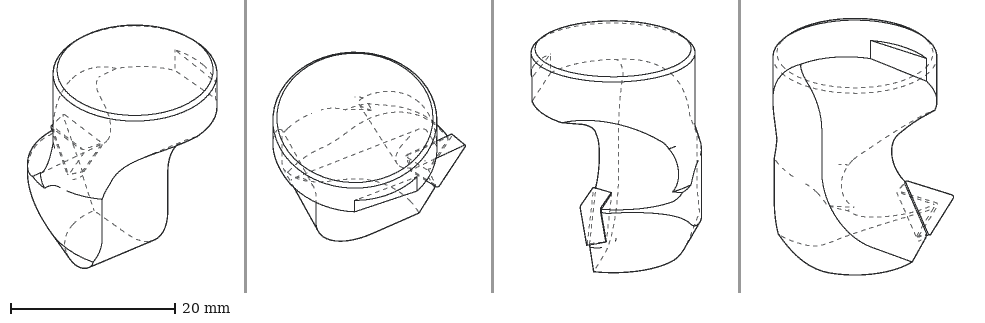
import cadquery as cq
import math

TOTAL_HEIGHT = 25.95
SHANK_DIAMETER = 20.0
SHANK_RADIUS = SHANK_DIAMETER / 2
TOP_CHAMFER = 0.5
NOTCH_Y = 9.08
NOTCH_TOP_Z = 22.78

NECK_TOP_Z = 15.7
LEDGE_Z = 10.71
NECK_BOTTOM_RADIUS = 11.55

FRONT_Y = -10.92
FRONT_LEFT_X = -4.25
FRONT_RIGHT_X = -0.52
LEFT_ARC_RADIUS = 9.35
RIGHT_ARC_RADIUS = 10.9
CONE_BOTTOM_RADIUS = 8.59
CONE_HALF_ANGLE = 28.2

RELIEF_X = 5.6
UPPER_RELIEF_RADIUS = 8.3
UPPER_RELIEF_Z = 13.5
LOWER_RELIEF_RADIUS = 7.78

FRAME_ANGLE = 3.3
RAKE_Y = 0.55
RAKE_FILLET = 2.8 / 2
ROOF_Z = 19.95
ROOF_ANGLE = 4.3

GULLET_X = -9.23
GULLET_Z = 14.03
GULLET_RADIUS = 3.9
GULLET_FLOOR_ANGLE = 1.5
GULLET_ROOF_ANGLE = 45.0

INSERT_TIP_X = -15.05
INSERT_TIP_Z = 10.95
INSERT_EDGE = 7.9
INSERT_THICKNESS = 2.39
INSERT_CLEARANCE = 7.5
INSERT_NOSE_RADIUS = 0.25
INSERT_TILT = 2.5
INSERT_STANDOUT = 0.29
INSERT_CORNER = 57.0

FLANK_TOP_X = -14.3
FLANK_TOP_Z = 10.9
FLANK_BEND_X = -11.4
FLANK_BEND_Z = 5.9
FLANK_END_X = -10.71
FLANK_END_Z = 3.9

REACH = 31.13


def prism_along_y(profile, y_start, length):
    """Extrude a closed XZ profile from y_start toward +Y."""
    return profile.extrude(-length).translate((0, y_start, 0))


def turn(shape):
    """Turn a shape into the frame of the insert."""
    return shape.rotate((0, 0, 0), (0, 0, 1), FRAME_ANGLE)


def make_shank():
    shank = cq.Workplane("XY", origin=(0, 0, NECK_TOP_Z)).circle(SHANK_RADIUS)
    shank = shank.extrude(TOTAL_HEIGHT - NECK_TOP_Z).faces(">Z").chamfer(TOP_CHAMFER)
    notch = cq.Workplane("XY").box(REACH, REACH, NOTCH_TOP_Z, centered=(True, False, False))
    return shank.cut(notch.translate((0, NOTCH_Y, 0)))


def make_head_outline():
    """Upright prism bounded by the front wall and its two arcs."""
    left_x = FRONT_LEFT_X - LEFT_ARC_RADIUS
    right_x = FRONT_RIGHT_X + RIGHT_ARC_RADIUS
    return (
        cq.Workplane("XY")
        .moveTo(FRONT_LEFT_X, FRONT_Y)
        .lineTo(FRONT_RIGHT_X, FRONT_Y)
        .radiusArc((right_x, FRONT_Y + RIGHT_ARC_RADIUS), -RIGHT_ARC_RADIUS)
        .lineTo(right_x, SHANK_RADIUS)
        .lineTo(left_x, SHANK_RADIUS)
        .lineTo(left_x, FRONT_Y + LEFT_ARC_RADIUS)
        .radiusArc((FRONT_LEFT_X, FRONT_Y), -LEFT_ARC_RADIUS)
        .close()
        .extrude(NECK_TOP_Z)
    )


def make_head():
    ledge_radius = CONE_BOTTOM_RADIUS + LEDGE_Z * math.tan(math.radians(CONE_HALF_ANGLE))
    profile = [
        (0, 0),
        (CONE_BOTTOM_RADIUS, 0),
        (ledge_radius, LEDGE_Z),
        (NECK_BOTTOM_RADIUS, LEDGE_Z),
        (SHANK_RADIUS, NECK_TOP_Z),
        (0, NECK_TOP_Z),
    ]
    cones = cq.Workplane("XZ").polyline(profile).close().revolve(360, (0, 0, 0), (0, 1, 0))
    return cones.intersect(make_head_outline())


def make_side_relief():
    """Material removed on the +X side, between the two reliefs and the open side."""
    center_x = RELIEF_X + UPPER_RELIEF_RADIUS
    lower_x = RELIEF_X - LOWER_RELIEF_RADIUS
    profile = (
        cq.Workplane("XZ")
        .moveTo(lower_x, 0)
        .radiusArc((RELIEF_X, LOWER_RELIEF_RADIUS), -LOWER_RELIEF_RADIUS)
        .lineTo(RELIEF_X, UPPER_RELIEF_Z)
        .radiusArc((center_x, UPPER_RELIEF_Z + UPPER_RELIEF_RADIUS), UPPER_RELIEF_RADIUS)
        .lineTo(center_x, 0)
        .close()
    )
    return prism_along_y(profile, -REACH / 2, REACH)


def make_rake_cut():
    """Space behind the rake face, under a sloping roof."""
    roof_rise = REACH / 2 * math.tan(math.radians(ROOF_ANGLE))
    profile = (
        cq.Workplane("XZ")
        .moveTo(-REACH / 2, -REACH)
        .lineTo(REACH / 2, -REACH)
        .lineTo(REACH / 2, ROOF_Z + roof_rise)
        .lineTo(-REACH / 2, ROOF_Z - roof_rise)
        .close()
    )
    return turn(prism_along_y(profile, RAKE_Y, REACH).faces("<Y").edges(">Z").fillet(RAKE_FILLET))


def make_gullet():
    """Rounded gullet between a nearly level floor and a slanted roof."""
    floor = math.radians(GULLET_FLOOR_ANGLE)
    roof = math.radians(GULLET_ROOF_ANGLE)
    floor_start = (GULLET_X - GULLET_RADIUS * math.sin(floor), GULLET_Z - GULLET_RADIUS * math.cos(floor))
    roof_start = (GULLET_X + GULLET_RADIUS * math.sin(roof), GULLET_Z + GULLET_RADIUS * math.cos(roof))
    run = REACH / 2
    profile = (
        cq.Workplane("XZ")
        .moveTo(floor_start[0] - run, floor_start[1] + run * math.tan(floor))
        .lineTo(*floor_start)
        .threePointArc((GULLET_X + GULLET_RADIUS, GULLET_Z), roof_start)
        .lineTo(roof_start[0] - run, roof_start[1] + run * math.tan(roof))
        .close()
    )
    return turn(prism_along_y(profile, -REACH / 2, REACH))


def make_flank_relief():
    """Slanted relief in front of the insert, with a curved lower end."""
    profile = (
        cq.Workplane("XZ")
        .moveTo(FLANK_TOP_X, FLANK_TOP_Z)
        .lineTo(FLANK_BEND_X, FLANK_BEND_Z)
        .tangentArcPoint((FLANK_END_X, FLANK_END_Z), relative=False)
        .lineTo(-REACH / 2, FLANK_END_Z)
        .lineTo(-REACH / 2, FLANK_TOP_Z)
        .close()
    )
    return turn(prism_along_y(profile, -REACH / 2, REACH))


def make_insert():
    top = math.radians(-INSERT_TILT)
    side = math.radians(-INSERT_TILT - INSERT_CORNER)
    corners = [
        (INSERT_TIP_X, INSERT_TIP_Z),
        (INSERT_TIP_X + INSERT_EDGE * math.cos(side), INSERT_TIP_Z + INSERT_EDGE * math.sin(side)),
        (INSERT_TIP_X + INSERT_EDGE * math.cos(top), INSERT_TIP_Z + INSERT_EDGE * math.sin(top)),
    ]
    plate = cq.Workplane("XZ").polyline(corners).close().extrude(INSERT_THICKNESS, taper=INSERT_CLEARANCE)
    plate = plate.edges("not #Y").fillet(INSERT_NOSE_RADIUS)
    return turn(plate.translate((0, RAKE_Y + INSERT_STANDOUT, 0)))


insert = make_insert()

holder = make_head().union(make_shank())
holder = holder.cut(make_side_relief()).cut(make_rake_cut()).cut(make_gullet())
holder = holder.cut(make_flank_relief()).cut(insert)

result = cq.Compound.makeCompound([holder.val(), insert.val()])